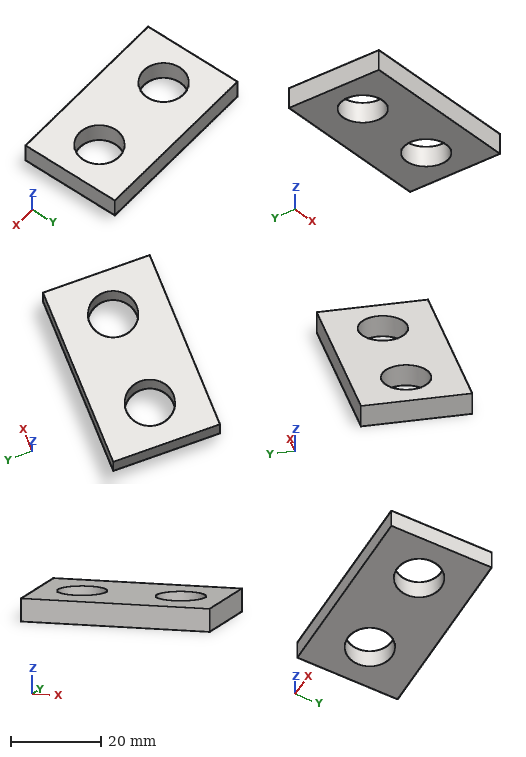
import cadquery as cq

length = 43.7
width = 25.4
thickness = 5.25

hole_diameter = 11.2
hole_spacing = 22.85

plate = cq.Workplane("XY").box(length, width, thickness)

hole_centres = [(-hole_spacing / 2, 0), (hole_spacing / 2, 0)]
result = plate.faces(">Z").workplane().pushPoints(hole_centres).hole(hole_diameter)